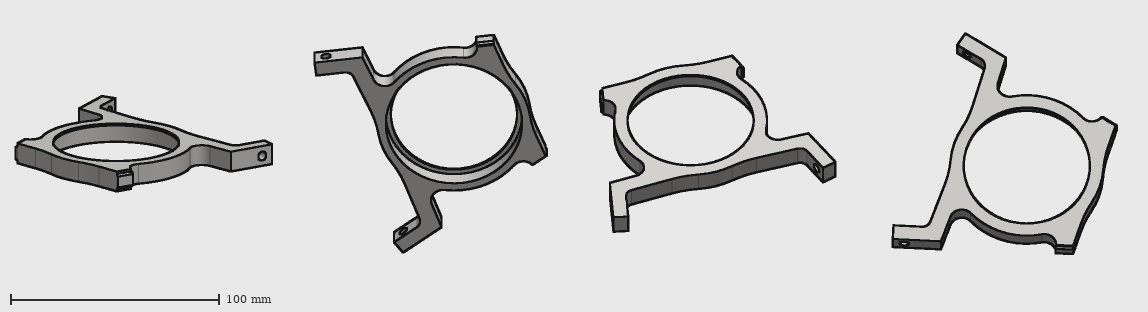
import cadquery as cq
import math

thickness = 10.0
lip_bore_radius = 30.25
lip_thickness = 1.0
bore_radius = 32.7
ring_radius = 36.7

overall_width = 112.85
tip_top_y = 51.2
lean = 15.0
arm_width = 7.2
arm_length = 23.2

shelf_slope = 1.7
shelf_thickness = 8.3
elbow_radius = 4.0

neck_radius = 5.8
crown_radius = 50.0

foot_bottom_y = -34.1
foot_top_y = -26.65
foot_corner_x = 33.0
foot_blank_x = 40.0

hole_diameter = 4.4
hole_from_tip = 5.6

tongue_length = 8.4
tongue_height = 1.1
tongue_root_width = 7.6
tongue_tip_width = 5.5

lean_sin = math.sin(math.radians(lean))
lean_cos = math.cos(math.radians(lean))
lean_tan = math.tan(math.radians(lean))
slope_tan = math.tan(math.radians(shelf_slope))
outward_angle = -lean

tip_outer_x = overall_width / 2
tip_outer_y = tip_top_y - arm_width * lean_sin
tip_inner_x = tip_outer_x - arm_width * lean_cos
heel_x = tip_outer_x - arm_length * lean_sin
heel_y = tip_outer_y - arm_length * lean_cos

shelf_bottom_mid_y = heel_y - heel_x * slope_tan
shelf_top_mid_y = shelf_bottom_mid_y + shelf_thickness / math.cos(math.radians(shelf_slope))
elbow_drop = (tip_top_y - shelf_top_mid_y - slope_tan * tip_inner_x) / (1 - slope_tan * lean_tan)
elbow_x = tip_inner_x - elbow_drop * lean_tan
elbow_y = tip_top_y - elbow_drop


def line_ring_crossing(mid_y, slope):
    """Point with x > 0 where the line y = mid_y + slope * x meets the outside of the ring."""
    a = 1 + slope ** 2
    b = mid_y * slope
    c = mid_y ** 2 - ring_radius ** 2
    x = (-b + math.sqrt(b ** 2 - a * c)) / a
    return x, mid_y + slope * x


def fillet_upright_edges(body, point, radius):
    """Round the upright edge through the point and its mirror image across the YZ plane."""
    x, y = point
    for side in (1, -1):
        edge = cq.selectors.NearestToPointSelector((side * x, y, thickness / 2))
        body = body.edges("|Z").edges(edge).fillet(radius)
    return body


def make_side_plates():
    """Shelf with arm, and foot running past its end face, for the +X side."""
    shelf_and_arm = (
        cq.Workplane("XY")
        .polyline([
            (0, shelf_bottom_mid_y),
            (heel_x, heel_y),
            (tip_outer_x, tip_outer_y),
            (tip_inner_x, tip_top_y),
            (elbow_x, elbow_y),
            (0, shelf_top_mid_y),
        ])
        .close()
        .extrude(thickness)
    )
    foot = (
        cq.Workplane("XY")
        .polyline([
            (0, foot_bottom_y),
            (foot_blank_x, foot_bottom_y),
            (foot_blank_x, foot_top_y),
            (0, foot_top_y),
        ])
        .close()
        .extrude(thickness)
    )
    return shelf_and_arm.union(foot)


def make_body():
    """Bored ring with shelves, arms and untrimmed feet, all inside corners rounded."""
    ring = cq.Workplane("XY").circle(ring_radius).extrude(thickness)
    side_plates = make_side_plates()
    body = ring.union(side_plates).union(side_plates.mirror("YZ"))

    body = fillet_upright_edges(body, (elbow_x, elbow_y), elbow_radius)
    body = fillet_upright_edges(body, line_ring_crossing(shelf_top_mid_y, slope_tan), crown_radius)
    body = fillet_upright_edges(body, line_ring_crossing(foot_bottom_y, 0), crown_radius)
    body = fillet_upright_edges(body, line_ring_crossing(shelf_bottom_mid_y, slope_tan), neck_radius)
    body = fillet_upright_edges(body, line_ring_crossing(foot_top_y, 0), neck_radius)

    lip_bore = cq.Workplane("XY").circle(lip_bore_radius).extrude(thickness)
    bore = cq.Workplane("XY").circle(bore_radius).extrude(thickness - lip_thickness)
    return body.cut(lip_bore).cut(bore)


def make_foot_trim():
    """Block outside the leaning end face of the +X foot."""
    block_length = foot_blank_x
    below = 2.0
    above = foot_top_y - foot_bottom_y + neck_radius / 2
    return (
        cq.Workplane("XY")
        .box(block_length, above + below, thickness, centered=False)
        .translate((0, -below, 0))
        .rotate((0, 0, 0), (0, 0, 1), outward_angle)
        .translate((foot_corner_x, foot_bottom_y, 0))
    )


def make_tongue():
    """Tongue with sloping flanks standing on the end face of the +X foot."""
    root_half = tongue_root_width / 2
    tip_half = tongue_tip_width / 2
    return (
        cq.Workplane("XZ")
        .polyline([
            (0, -root_half),
            (tongue_height, -tip_half),
            (tongue_height, tip_half),
            (0, root_half),
        ])
        .close()
        .extrude(-tongue_length)
        .rotate((0, 0, 0), (0, 0, 1), outward_angle)
        .translate((foot_corner_x, foot_bottom_y, thickness / 2))
    )


def make_arm_hole():
    """Cross hole through the +X arm, square to its faces."""
    return (
        cq.Workplane("YZ")
        .circle(hole_diameter / 2)
        .extrude(2 * arm_width, both=True)
        .rotate((0, 0, 0), (0, 0, 1), outward_angle)
        .translate((
            tip_outer_x - hole_from_tip * lean_sin,
            tip_outer_y - hole_from_tip * lean_cos,
            thickness / 2,
        ))
    )


def on_both_sides(shape):
    """The shape together with its mirror image across the YZ plane."""
    return shape.union(shape.mirror("YZ"))


result = (
    make_body()
    .cut(on_both_sides(make_foot_trim()))
    .union(on_both_sides(make_tongue()))
    .cut(on_both_sides(make_arm_hole()))
)